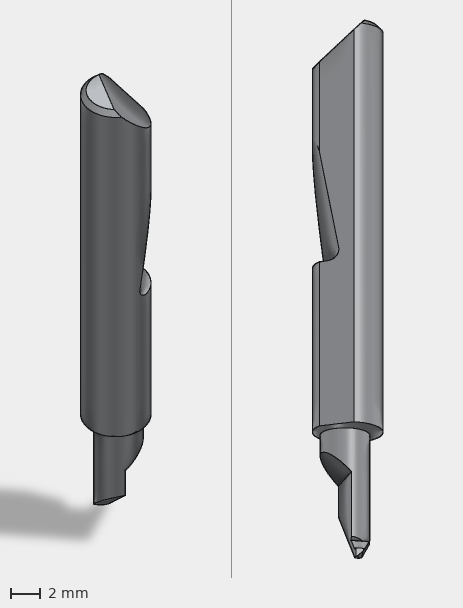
import cadquery as cq

total_length = 37.97
shank_radius = 2.375
shank_bottom = 9.4
end_chamfer = 0.38

flat_distance = 2.0
flat_direction = 143.0

slope_front_y = -0.65

notch_top = 29.75
notch_floor_y = 1.1
notch_floor_z = 21.85
notch_bottom = 21.0
notch_arc_end_y = 1.82
notch_arc_mid_y = 1.3
notch_arc_mid_z = 21.23

neck_radius = 1.67
neck_x = shank_radius - neck_radius
neck_left = neck_x - neck_radius
neck_end = 1.55
neck_chamfer = 0.23
relief_start = 6.35

tip_x = -1.8
tip_left = -2.05
tip_heel = 0.08
tip_edge_top = 0.65
blade_rise = 2.4

nose_start = -0.2
corner_distance = 0.1
corner_y = -0.5
root_distance = 2.28
root_y = -1.48

clearance = 3.8


def prism_along_y(points):
    """Prism with an XZ outline, spanning the whole part in Y."""
    return cq.Workplane("XZ").polyline(points).close().extrude(clearance, both=True)


def prism_along_x(outline):
    """Prism with a closed YZ outline, spanning the whole part in X."""
    return outline.close().extrude(clearance, both=True)


def make_shank():
    shank = (
        cq.Workplane("XY")
        .workplane(offset=shank_bottom)
        .circle(shank_radius)
        .extrude(total_length - shank_bottom)
        .faces(">Z")
        .chamfer(end_chamfer)
    )

    flat = (
        cq.Workplane("XY")
        .box(clearance, 2 * clearance, total_length, centered=(False, True, False))
        .translate((flat_distance, 0, 0))
        .rotate((0, 0, 0), (0, 0, 1), flat_direction)
    )

    slope_run = clearance - slope_front_y
    slope = prism_along_x(
        cq.Workplane("YZ").polyline(
            [
                (slope_front_y, total_length),
                (clearance, total_length - slope_run),
                (clearance, total_length),
            ]
        )
    )

    notch = prism_along_x(
        cq.Workplane("YZ")
        .moveTo(shank_radius, notch_top)
        .lineTo(notch_floor_y, notch_floor_z)
        .threePointArc((notch_arc_mid_y, notch_arc_mid_z), (notch_arc_end_y, notch_bottom))
        .lineTo(clearance, notch_bottom)
        .lineTo(clearance, notch_top)
    )
    return shank.cut(flat).cut(slope).cut(notch)


def make_neck():
    neck = cq.Workplane("XY").center(neck_x, 0).circle(neck_radius).extrude(shank_bottom)

    end_profile = prism_along_y(
        [
            (neck_left, shank_bottom),
            (neck_left, neck_end + neck_chamfer),
            (neck_left + neck_chamfer, neck_end),
            (neck_end + tip_x, neck_end),
            (shank_radius, shank_radius - tip_x),
            (shank_radius, shank_bottom),
        ]
    )

    relief = prism_along_x(
        cq.Workplane("YZ").polyline(
            [
                (0, 0),
                (0, relief_start),
                (clearance, relief_start + clearance),
                (clearance, 0),
            ]
        )
    )
    return neck.intersect(end_profile).cut(relief)


def make_tip():
    blade = prism_along_y(
        [
            (tip_x, 0),
            (neck_end + tip_x, neck_end),
            (neck_end - blade_rise, neck_end),
            (tip_edge_top - blade_rise, tip_edge_top),
            (tip_left, tip_edge_top),
            (tip_left, tip_heel),
        ]
    )

    underside = cq.Plane(origin=(tip_x, 0, 0), xDir=(1, 0, 1), normal=(-1, 0, 1))
    plan = (
        cq.Workplane(underside)
        .polyline(
            [
                (nose_start, 0),
                (corner_distance, corner_y),
                (root_distance, root_y),
                (root_distance, 0),
            ]
        )
        .close()
        .extrude(clearance, both=True)
    )
    return blade.intersect(plan)


result = make_shank().union(make_neck()).union(make_tip())